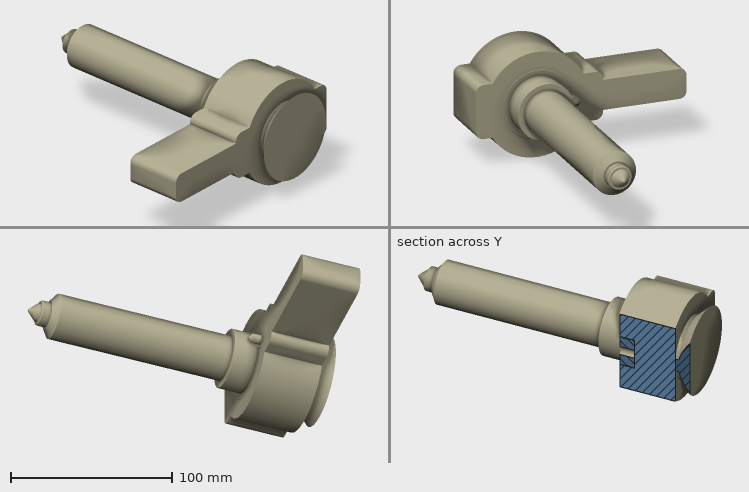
import cadquery as cq


overall_length = 193.0

handle_length = 38.0
hub_diameter = 70.0
heel_reach = 41.0
heel_height = 36.0
shoulder_reach = 44.0
shoulder_height = 32.0
arm_reach = 100.0
arm_height = 20.0
corner_radius = 5.0

knob_neck_diameter = 42.0
knob_neck_length = 2.0
knob_diameter = 58.0
knob_length = 10.0

bush_diameter = 46.0
bush_depth = 10.0
notch_width = 6.6
notch_center_radius = 22.0
bush_chamfer = 0.3

sleeve_diameter = 38.0
sleeve_length = 15.0
sleeve_rim_chamfer = 0.3
seal_width = 1.2
seal_inner_diameter = 36.0
seal_fronts = (-13.1, -4.1)
undercut_width = 0.6
undercut_depth = 0.2

shaft_diameter = 29.0
shaft_front = -128.4
shaft_nose_length = 4.0
shaft_nose_diameter = 18.2
shaft_nose_front = shaft_front - shaft_nose_length

tip = handle_length + knob_length - overall_length
collar_diameter = 16.0
collar_front = tip + 6.6
collar_chamfer = 0.7
collar_groove_diameter = 15.6
collar_groove_width = 0.5
collar_groove_fronts = (collar_front + 1.2, collar_front + 2.2)

needle_diameter = 12.0
needle_point_diameter = 1.5
needle_cone_diameter = 10.6
needle_cone_length = 5.0
needle_back = tip + 10.0

pin_diameter = 6.0
pin_offset = 23.7
pin_front = -6.0
pin_cone_diameter = 5.4
pin_cone_length = 2.0
pin_depth = bush_depth
pin_land_front = -4.6
pin_land_diameter = 5.7


def cylinder(diameter, start, end):
    """Cylinder on the main axis from X = start to X = end."""
    return cq.Workplane("YZ", origin=(start, 0, 0)).circle(diameter / 2).extrude(end - start)


def tube(outer_diameter, inner_diameter, start, end):
    """Ring on the main axis from X = start to X = end."""
    return cylinder(outer_diameter, start, end).cut(cylinder(inner_diameter, start, end))


def revolve_about_x(points):
    """Solid of revolution from (x, radius) points about the main axis."""
    return cq.Workplane("XY").polyline(points).close().revolve(360, (0, 0, 0), (1, 0, 0))


def block(y_low, y_high, height):
    """Box as long as the handle, centered on Z = 0."""
    return (
        cq.Workplane("XY")
        .box(handle_length, y_high - y_low, height, centered=(False, False, True))
        .translate((0, y_low, 0))
    )


def pin_hole():
    return cylinder(pin_diameter, 0, pin_depth).translate((0, -pin_offset, 0))


def make_handle():
    heel = block(0, heel_reach, heel_height).edges("|X and >Y").fillet(corner_radius)
    shoulder = block(-shoulder_reach, 0, shoulder_height).edges("|X and <Y").fillet(corner_radius)
    arm = block(-arm_reach, 0, arm_height).edges("|X and <Y").fillet(corner_radius)
    hub = cylinder(hub_diameter, 0, handle_length)
    body = hub.union(heel).union(shoulder).union(arm)
    return body.cut(cylinder(bush_diameter, 0, bush_depth)).cut(pin_hole())


def make_bush():
    """Disc with a round-ended notch that opens toward -Y."""
    notch_end = cylinder(notch_width, 0, bush_depth).translate((0, -notch_center_radius, 0))
    notch_mouth = (
        cq.Workplane("XY")
        .box(bush_depth, bush_diameter, notch_width, centered=(False, False, True))
        .translate((0, -notch_center_radius - bush_diameter, 0))
    )
    body = cylinder(bush_diameter, 0, bush_depth).cut(notch_end).cut(notch_mouth)
    return body.faces("<X").chamfer(bush_chamfer)


def make_seal(front):
    """Ring flush with the sleeve; the same shape cuts its groove."""
    return tube(sleeve_diameter, seal_inner_diameter, front, front + seal_width)


def make_sleeve():
    """Tube around the shaft with seal grooves and a shallow undercut against the handle."""
    body = cylinder(sleeve_diameter, -sleeve_length, 0).faces("<X").chamfer(sleeve_rim_chamfer)
    undercut = tube(sleeve_diameter, sleeve_diameter - 2 * undercut_depth, -undercut_width, 0)
    body = body.cut(undercut).cut(cylinder(shaft_diameter, -sleeve_length, 0))
    for front in seal_fronts:
        body = body.cut(make_seal(front))
    return body


def make_shaft():
    """Round shaft with a tapered nose, a grooved collar and a bore for the needle."""
    body = revolve_about_x([
        (collar_front, 0),
        (collar_front, collar_diameter / 2 - collar_chamfer),
        (collar_front + collar_chamfer, collar_diameter / 2),
        (shaft_nose_front, collar_diameter / 2),
        (shaft_nose_front, shaft_nose_diameter / 2),
        (shaft_front, shaft_diameter / 2),
        (0, shaft_diameter / 2),
        (0, 0),
    ])
    for front in collar_groove_fronts:
        body = body.cut(tube(collar_diameter, collar_groove_diameter, front, front + collar_groove_width))
    return body.cut(cylinder(needle_diameter, collar_front, needle_back))


def make_needle():
    return revolve_about_x([
        (tip, 0),
        (tip, needle_point_diameter / 2),
        (tip + needle_cone_length, needle_cone_diameter / 2),
        (collar_front, needle_diameter / 2),
        (needle_back, needle_diameter / 2),
        (needle_back, 0),
    ])


def make_pin():
    return revolve_about_x([
        (pin_front - pin_cone_length, 0),
        (pin_front, pin_cone_diameter / 2),
        (pin_front, pin_land_diameter / 2),
        (pin_land_front, pin_land_diameter / 2),
        (pin_land_front, pin_diameter / 2),
        (pin_depth, pin_diameter / 2),
        (pin_depth, 0),
    ]).translate((0, -pin_offset, 0))


def make_knob():
    return revolve_about_x([
        (handle_length, 0),
        (handle_length, knob_neck_diameter / 2),
        (handle_length + knob_neck_length, knob_neck_diameter / 2),
        (handle_length + knob_length, knob_diameter / 2),
        (handle_length + knob_length, 0),
    ])


handle = make_handle()
bush = make_bush()
sleeve = make_sleeve()
seals = [make_seal(front) for front in seal_fronts]
shaft = make_shaft()
needle = make_needle()
pin = make_pin()
knob = make_knob()

result = cq.Compound.makeCompound([
    handle.val(),
    bush.val(),
    sleeve.val(),
    *[seal.val() for seal in seals],
    shaft.val(),
    needle.val(),
    pin.val(),
    knob.val(),
])